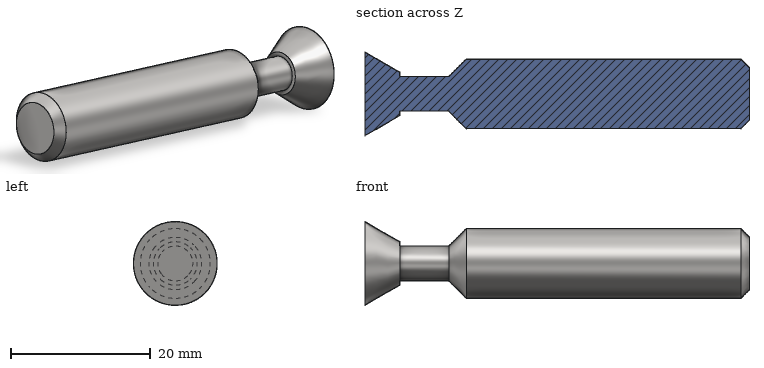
import cadquery as cq
import math

total_length = 55.0
head_diameter = 12.0
neck_diameter = 5.0
shank_diameter = 10.0

head_length = 5.0
head_included_angle = 60.0
shoulder_start = 12.0
end_chamfer = 1.25

head_radius = head_diameter / 2
neck_radius = neck_diameter / 2
shank_radius = shank_diameter / 2
head_back_radius = head_radius - head_length * math.tan(math.radians(head_included_angle / 2))
shank_start = shoulder_start + (shank_radius - neck_radius)


def make_cutter():
    """Revolve the half profile (X along the axis, Y as radius) about the X axis."""
    half_profile = (
        cq.Workplane("XY")
        .moveTo(0, 0)
        .lineTo(0, head_radius)
        .lineTo(head_length, head_back_radius)
        .lineTo(head_length, neck_radius)
        .lineTo(shoulder_start, neck_radius)
        .lineTo(shank_start, shank_radius)
        .lineTo(total_length - end_chamfer, shank_radius)
        .lineTo(total_length, shank_radius - end_chamfer)
        .lineTo(total_length, 0)
        .close()
    )
    return half_profile.revolve(axisStart=(0, 0, 0), axisEnd=(1, 0, 0))


result = make_cutter()